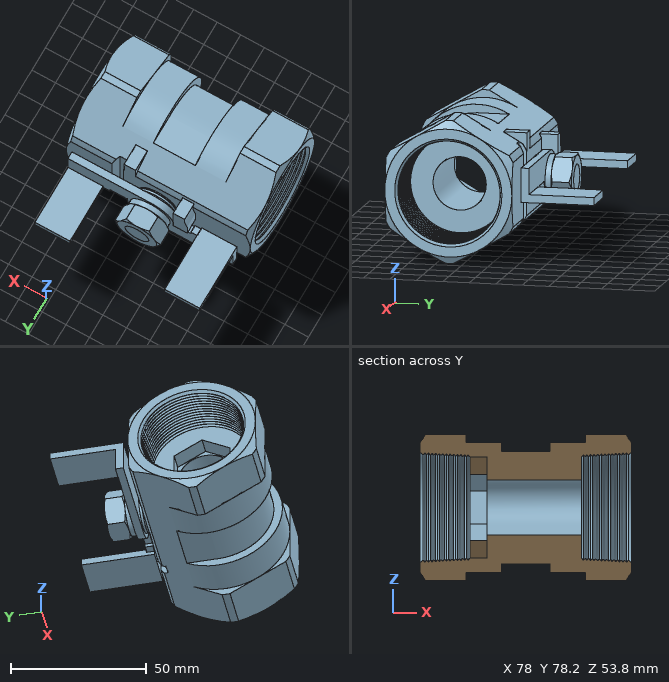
import cadquery as cq
import math

BODY_LENGTH = 78.0
HEX_FLATS = 48.0
HEX_CORNER_DIA = 53.8
HEX_LENGTH = 17.1
COLLAR_LENGTH = 13.0
WAIST_DIA = 41.6
END_CHAMFER = 1.9
BORE_DIA = 20.0

body_half = BODY_LENGTH / 2
flat_radius = HEX_FLATS / 2
corner_radius = HEX_CORNER_DIA / 2
waist_radius = WAIST_DIA / 2
waist_length = BODY_LENGTH - 2 * (HEX_LENGTH + COLLAR_LENGTH)

MOUTH_DIA = 40.5
CREST_DIA = 38.6
THREAD_END_DIA = 37.0
LEAD_IN = 1.2
THREAD_PITCH = 1.3
THREAD_HEIGHT = 0.8
THREAD_COUNT = 13

thread_depth = LEAD_IN + THREAD_PITCH * THREAD_COUNT

INSERT_DIA = THREAD_END_DIA
INSERT_THICKNESS = 6.25
INSERT_HEX_FLATS = 20.95

insert_start = -body_half + thread_depth
insert_end = insert_start + INSERT_THICKNESS

LUG_START = 9.55
LUG_END = 14.5
LUG_TOP = 18.9
NOTCH_START = 14.7
NOTCH_FLOOR_END = 17.8
NOTCH_DEPTH = 3.0
NOTCH_RUN_OUT = 1.8
POST_RIGHT = -9.85
POST_LEFT = -14.7
POST_FOOT = -15.8
POST_TOP = 13.8
POST_ARC_TOP = 10.55
POST_ARC_BOTTOM = 6.3
POST_ARC_HOLLOW = 0.09
POST_ROOT = 21.1
POST_END = 30.1

STEM_X = 0.15
SHAFT_DIA = 10.0
STEM_DIA = 15.4
STEM_RECESS = 2.35
STEM_STAND_OFF = 0.55
RING_DIA = 16.0
RING_THICKNESS = 1.0
RING_COUNT = 2
PLATE_THICKNESS = 3.0
WASHER_THICKNESS = 2.3
NUT_FLATS = 16.8
NUT_HEIGHT = 7.75
NUT_CHAMFER = 0.7

ring_start = flat_radius + STEM_STAND_OFF
plate_start = ring_start + RING_COUNT * RING_THICKNESS
washer_start = plate_start + PLATE_THICKNESS
nut_start = washer_start + WASHER_THICKNESS
nut_end = nut_start + NUT_HEIGHT

HUB_RADIUS = 9.85
HANDLE_SPAN = 69.9
WING_WIDTH = 14.9
WING_THICKNESS = 3.05
WING_END = 54.2
STEP_REACH = 17.1
STEP_HEIGHT = 1.5

handle_half = HANDLE_SPAN / 2


def box(x_range, y_range, z_range):
    """Axis-aligned box between the given limits."""
    low, high = zip(x_range, y_range, z_range)
    size = [b - a for a, b in zip(low, high)]
    return cq.Workplane("XY").box(*size, centered=False).translate(low)


def disc_x(diameter, x_start, x_end):
    """Cylinder about the bore axis."""
    return cq.Workplane("YZ").workplane(offset=x_start).circle(diameter / 2).extrude(x_end - x_start)


def disc_y(diameter, y_start, y_end):
    """Cylinder about the stem axis."""
    return cq.Workplane("XZ", origin=(STEM_X, y_start, 0)).circle(diameter / 2).extrude(y_start - y_end)


def hexagon_x(flats, x_start, x_end):
    """Hexagonal bar about the bore axis with flats facing +Y and -Y."""
    corners = flats / math.cos(math.pi / 6)
    bar = cq.Workplane("YZ").workplane(offset=x_start).polygon(6, corners).extrude(x_end - x_start)
    return bar.rotate((0, 0, 0), (1, 0, 0), 30)


def turned_blank():
    """Round envelope that turns the hexagon corners and cones both ends."""
    profile = [
        (-body_half, 0),
        (-body_half, flat_radius),
        (-body_half + END_CHAMFER, corner_radius),
        (body_half - END_CHAMFER, corner_radius),
        (body_half, flat_radius),
        (body_half, 0),
    ]
    return cq.Workplane("XY").polyline(profile).close().revolve(360, (0, 0, 0), (1, 0, 0))


def stem_boss():
    """Hexagon kept full length on the +Y side, down to where it meets the collars."""
    tangent_y = flat_radius / 2
    upper = box((-body_half, body_half), (tangent_y, corner_radius), (-corner_radius, corner_radius))
    neck = box((-waist_length / 2, waist_length / 2), (0, tangent_y), (-waist_radius, waist_radius))
    return hexagon_x(HEX_FLATS, -body_half, body_half).intersect(upper).union(neck)


def outer_form():
    hexagons = hexagon_x(HEX_FLATS, -body_half, -body_half + HEX_LENGTH)
    hexagons = hexagons.union(hexagon_x(HEX_FLATS, body_half - HEX_LENGTH, body_half))
    collar_half = waist_length / 2 + COLLAR_LENGTH
    form = hexagons.union(stem_boss()).intersect(turned_blank())
    form = form.union(disc_x(WAIST_DIA, -collar_half, collar_half))
    for side in (-1, 1):
        form = form.union(disc_x(HEX_FLATS, side * waist_length / 2, side * collar_half))
    return form


def stop_lug():
    return box((LUG_START, LUG_END), (flat_radius / 2, flat_radius), (0, LUG_TOP))


def stop_notch():
    floor = flat_radius - NOTCH_DEPTH
    outline = [
        (NOTCH_START, flat_radius),
        (NOTCH_START, floor),
        (NOTCH_FLOOR_END, floor),
        (NOTCH_FLOOR_END + NOTCH_RUN_OUT, flat_radius),
    ]
    return cq.Workplane("XY").polyline(outline).close().extrude(corner_radius, both=True)


def stop_post():
    """Post beside the handle with a curved step on its outer side."""
    middle = (
        (POST_LEFT + POST_FOOT) / 2 + POST_ARC_HOLLOW,
        (POST_ARC_TOP + POST_ARC_BOTTOM) / 2,
    )
    return (
        cq.Workplane("XZ")
        .workplane(offset=-POST_ROOT)
        .moveTo(POST_RIGHT, 0)
        .lineTo(POST_RIGHT, POST_TOP)
        .lineTo(POST_LEFT, POST_TOP)
        .lineTo(POST_LEFT, POST_ARC_TOP)
        .threePointArc(middle, (POST_FOOT, POST_ARC_BOTTOM))
        .lineTo(POST_FOOT, 0)
        .close()
        .extrude(POST_ROOT - POST_END)
    )


def thread_cavity():
    """Threaded socket in the -X end: lead-in cone followed by tapered V grooves."""
    taper = (CREST_DIA - THREAD_END_DIA) / 2 / THREAD_COUNT
    start = -body_half + LEAD_IN
    profile = [(-body_half, 0), (-body_half, MOUTH_DIA / 2), (start, CREST_DIA / 2)]
    for turn in range(THREAD_COUNT):
        crest = CREST_DIA / 2 - turn * taper
        x = start + turn * THREAD_PITCH
        profile.append((x + THREAD_PITCH / 2, crest + THREAD_HEIGHT - taper / 2))
        profile.append((x + THREAD_PITCH, crest - taper))
    profile.append((start + THREAD_COUNT * THREAD_PITCH, 0))
    return cq.Workplane("XY").polyline(profile).close().revolve(360, (0, 0, 0), (1, 0, 0))


def make_housing():
    socket = thread_cavity()
    return (
        outer_form()
        .union(stop_lug())
        .cut(stop_notch())
        .union(stop_post())
        .cut(socket)
        .cut(socket.mirror("YZ"))
        .cut(disc_x(BORE_DIA, -body_half, body_half))
        .cut(disc_x(INSERT_DIA, insert_start, insert_end))
        .cut(disc_y(STEM_DIA, flat_radius - STEM_RECESS, flat_radius))
    )


def make_insert():
    disc = disc_x(INSERT_DIA, insert_start, insert_end)
    return disc.cut(hexagon_x(INSERT_HEX_FLATS, insert_start, insert_end))


def make_stem():
    head = disc_y(STEM_DIA, flat_radius - STEM_RECESS, ring_start)
    return head.union(disc_y(SHAFT_DIA, ring_start, nut_end))


def make_ring(diameter, start, thickness):
    """Flat ring on the stem shaft."""
    end = start + thickness
    return disc_y(diameter, start, end).cut(disc_y(SHAFT_DIA, start, end))


def handle_arm(turn):
    """One half of the handle, turned about the stem: plate arm with its wing bent outwards."""
    plate_range = (plate_start, washer_start)
    wing_range = (-handle_half, -handle_half + WING_WIDTH)
    arm = box((-handle_half, 0), plate_range, (-HUB_RADIUS, 0))
    arm = arm.union(box((-handle_half, -STEP_REACH), plate_range, (0, STEP_HEIGHT)))
    arm = arm.union(box(wing_range, (plate_start, WING_END), (0, WING_THICKNESS)))
    return arm.rotate((0, 0, 0), (0, 1, 0), turn).translate((STEM_X, 0, 0))


def make_handle():
    """Two arms, half a turn apart, around a round hub."""
    handle = disc_y(2 * HUB_RADIUS, plate_start, washer_start)
    for turn in (0, 180):
        handle = handle.union(handle_arm(turn))
    return handle.cut(disc_y(SHAFT_DIA, plate_start, washer_start))


def make_nut():
    """Hexagon nut with corners towards +X and -X, coned on both faces."""
    corner_dia = NUT_FLATS / math.cos(math.pi / 6)
    hexagon = cq.Workplane("XZ", origin=(STEM_X, nut_start, 0)).polygon(6, corner_dia).extrude(-NUT_HEIGHT)
    cone = [
        (0, nut_start),
        (NUT_FLATS / 2, nut_start),
        (corner_dia / 2, nut_start + NUT_CHAMFER),
        (corner_dia / 2, nut_end - NUT_CHAMFER),
        (NUT_FLATS / 2, nut_end),
        (0, nut_end),
    ]
    blank = cq.Workplane("XY", origin=(STEM_X, 0, 0)).polyline(cone).close().revolve(360, (0, 0, 0), (0, 1, 0))
    return hexagon.intersect(blank).cut(disc_y(SHAFT_DIA, nut_start, nut_end))


housing = make_housing()
insert = make_insert()
stem = make_stem()
rings = [make_ring(RING_DIA, ring_start + i * RING_THICKNESS, RING_THICKNESS) for i in range(RING_COUNT)]
handle = make_handle()
washer = make_ring(NUT_FLATS, washer_start, WASHER_THICKNESS)
nut = make_nut()

result = cq.Compound.makeCompound(
    [
        housing.val(),
        insert.val(),
        stem.val(),
        *[ring.val() for ring in rings],
        handle.val(),
        washer.val(),
        nut.val(),
    ]
)